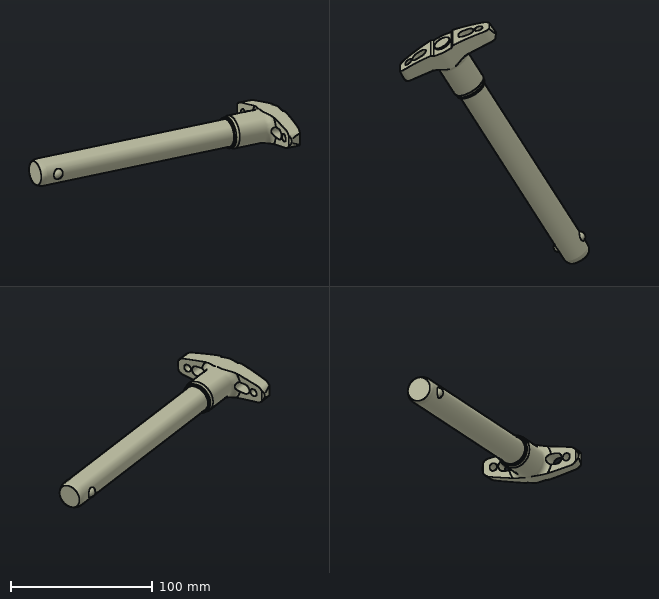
import cadquery as cq
import math

LENGTH = 200.0

HANDLE_LENGTH = 74.8
HANDLE_WIDTH = 24.6
HANDLE_END_RADIUS = 7.0

OUTER_ARCH_RADIUS = 160.0
INNER_ARCH_RADIUS = 440.2
INNER_FACE_DEPTH = 11.8

DIP_DEPTH = 1.2
DIP_FLOOR_WIDTH = 14.0
DIP_MOUTH_WIDTH = 17.6
BUTTON_RADIUS = 6.0

END_DRAFT = 10.0
END_TIP_DEPTH = 11.6
END_FACET_SETBACK = 1.6
END_FACET_DEPTH = 13.5

SLOT_INNER_END = 13.0
SLOT_OUTER_END = 24.6
SLOT_WIDTH = 7.8
HOLE_OFFSET = 28.5
HOLE_RADIUS = 2.8

COLLAR_RADIUS = 12.0
FLARE_RADIUS = 4.8
FLARE_END_DEPTH = 17.0
COLLAR_TAPER_DEPTH = 39.2
COLLAR_LIP_DEPTH = 41.5
COLLAR_END_DEPTH = 42.8
LIP_RADIUS = 11.2

SHANK_RADIUS = 10.0
TIP_FACE_RADIUS = 8.6
TIP_LENGTH = 4.2
BALL_RADIUS = 4.0
BALL_REACH = 12.5
BALL_TIP_DISTANCE = 13.2

half_length = HANDLE_LENGTH / 2
half_width = HANDLE_WIDTH / 2
flare_start_depth = FLARE_END_DEPTH - FLARE_RADIUS
arc_middle_share = 1 - math.sqrt(0.5)


def handle_outline():
    """Lens-like prism: a middle circle and two end circles joined by tangent flats."""
    end_centre = half_length - HANDLE_END_RADIUS
    taper = math.asin((half_width - HANDLE_END_RADIUS) / end_centre)
    mid_x = half_width * math.sin(taper)
    mid_z = half_width * math.cos(taper)
    end_x = end_centre + HANDLE_END_RADIUS * math.sin(taper)
    end_z = HANDLE_END_RADIUS * math.cos(taper)
    return (
        cq.Workplane("XZ")
        .moveTo(-mid_x, mid_z)
        .threePointArc((0, half_width), (mid_x, mid_z))
        .lineTo(end_x, end_z)
        .threePointArc((half_length, 0), (end_x, -end_z))
        .lineTo(mid_x, -mid_z)
        .threePointArc((0, -half_width), (-mid_x, -mid_z))
        .lineTo(-end_x, -end_z)
        .threePointArc((-half_length, 0), (-end_x, end_z))
        .close()
        .extrude(FLARE_END_DEPTH)
    )


def arch_drop(radius, x):
    """Fall of an arch of the given radius at a distance x from its crown."""
    return radius - math.sqrt(radius**2 - x**2)


def handle_plate():
    """Arched slab in XY, thick enough in Z to be cut to the handle outline."""
    mouth = DIP_MOUTH_WIDTH / 2
    floor = DIP_FLOOR_WIDTH / 2
    middle = (mouth + half_length) / 2
    crown = arch_drop(OUTER_ARCH_RADIUS, mouth)

    def outer_y(x):
        return crown - arch_drop(OUTER_ARCH_RADIUS, x)

    inner_end_y = -INNER_FACE_DEPTH - arch_drop(INNER_ARCH_RADIUS, half_length)
    return (
        cq.Workplane("XY")
        .moveTo(-floor, -DIP_DEPTH)
        .lineTo(floor, -DIP_DEPTH)
        .lineTo(mouth, 0)
        .threePointArc((middle, outer_y(middle)), (half_length, outer_y(half_length)))
        .lineTo(half_length, inner_end_y)
        .threePointArc((0, -INNER_FACE_DEPTH), (-half_length, inner_end_y))
        .lineTo(-half_length, outer_y(half_length))
        .threePointArc((-middle, outer_y(middle)), (-mouth, 0))
        .close()
        .extrude(half_width, both=True)
    )


def flare():
    """Concave fillet that blends the collar into the inner face of the handle."""
    rim = COLLAR_RADIUS + FLARE_RADIUS
    arc_x = COLLAR_RADIUS + FLARE_RADIUS * arc_middle_share
    arc_depth = flare_start_depth + FLARE_RADIUS * arc_middle_share
    return (
        cq.Workplane("XY")
        .moveTo(0, -DIP_DEPTH)
        .lineTo(COLLAR_RADIUS, -DIP_DEPTH)
        .lineTo(rim, -INNER_FACE_DEPTH)
        .lineTo(rim, -flare_start_depth)
        .threePointArc((arc_x, -arc_depth), (COLLAR_RADIUS, -FLARE_END_DEPTH))
        .lineTo(0, -FLARE_END_DEPTH)
        .close()
        .revolve(360, (0, 0, 0), (0, 1, 0))
    )


def end_trim(side):
    """Material outside the drafted face and facet on one handle end (side is +1 or -1)."""
    lean = END_TIP_DEPTH * math.tan(math.radians(END_DRAFT))
    facet_end_x = half_length - 2 * END_FACET_SETBACK
    facet_end_depth = END_TIP_DEPTH + 2 * (END_FACET_DEPTH - END_TIP_DEPTH)
    return (
        cq.Workplane("XY")
        .moveTo(side * (half_length - lean), 0)
        .lineTo(side * half_length, -END_TIP_DEPTH)
        .lineTo(side * facet_end_x, -facet_end_depth)
        .lineTo(side * half_length, -facet_end_depth)
        .lineTo(side * (half_length + lean), -END_TIP_DEPTH)
        .lineTo(side * (half_length + lean), 0)
        .close()
        .extrude(half_width, both=True)
    )


def wing_openings(side):
    """Slot and round hole through one wing of the handle."""
    slot_centre = side * (SLOT_INNER_END + SLOT_OUTER_END) / 2
    slot = (
        cq.Workplane("XZ")
        .center(slot_centre, 0)
        .slot2D(SLOT_OUTER_END - SLOT_INNER_END, SLOT_WIDTH)
        .extrude(FLARE_END_DEPTH)
    )
    hole = (
        cq.Workplane("XZ")
        .center(side * HOLE_OFFSET, 0)
        .circle(HOLE_RADIUS)
        .extrude(FLARE_END_DEPTH)
    )
    return slot.union(hole)


def pin():
    """Collar, shank and rounded tip turned about the Y axis."""
    tip_drop = SHANK_RADIUS - TIP_FACE_RADIUS
    shank_end = TIP_LENGTH - LENGTH
    return (
        cq.Workplane("XY")
        .moveTo(0, -FLARE_END_DEPTH)
        .lineTo(COLLAR_RADIUS, -FLARE_END_DEPTH)
        .lineTo(COLLAR_RADIUS, -COLLAR_TAPER_DEPTH)
        .lineTo(LIP_RADIUS, -COLLAR_LIP_DEPTH)
        .lineTo(LIP_RADIUS, -COLLAR_END_DEPTH)
        .lineTo(SHANK_RADIUS, -COLLAR_END_DEPTH)
        .lineTo(SHANK_RADIUS, shank_end)
        .tangentArcPoint((-tip_drop, -TIP_LENGTH))
        .lineTo(0, -LENGTH)
        .close()
        .revolve(360, (0, 0, 0), (0, 1, 0))
    )


handle = handle_plate().union(flare()).intersect(handle_outline())
for side in (-1, 1):
    handle = handle.cut(end_trim(side)).cut(wing_openings(side))

button = cq.Workplane("XZ").circle(BUTTON_RADIUS).extrude(INNER_FACE_DEPTH)
result = handle.union(button).union(pin())

for side in (-1, 1):
    ball_centre = (side * (BALL_REACH - BALL_RADIUS), BALL_TIP_DISTANCE - LENGTH, 0)
    result = result.union(cq.Workplane("XY").sphere(BALL_RADIUS).translate(ball_centre))